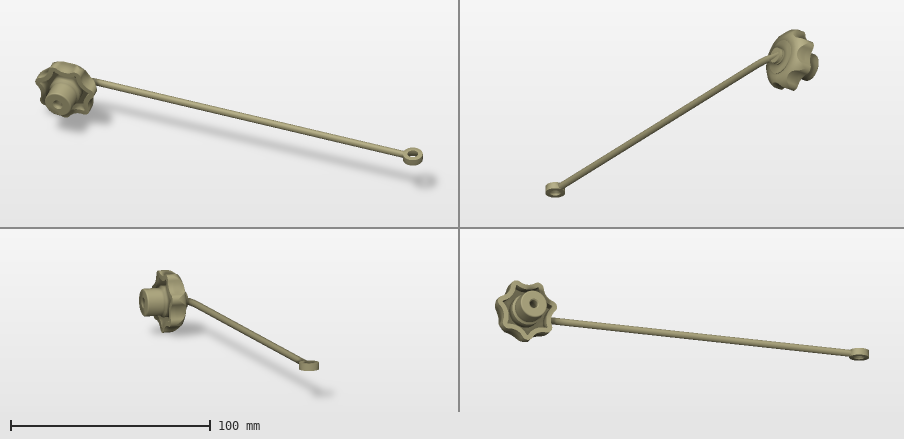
import cadquery as cq
import math


LOBE_COUNT = 7
LOBE_RADIUS = 3.0
LOBE_CENTRE_RADIUS = 13.0
KNOB_RADIUS = LOBE_CENTRE_RADIUS + LOBE_RADIUS
VALLEY_DEPTH_RADIUS = 13.0
FIRST_LOBE_ANGLE = -90.0
KNOB_FRONT = 10.0
KNOB_BACK = 19.0
BACK_ROUND_RADIUS = 6.0
RIM_WALL = 2.5
POCKET_DEPTH = 5.0

HUB_DIAMETER = 14.0
HUB_ROOT_DIAMETER = 16.0
HUB_ROOT_LEAD = 1.0
HUB_END_ROUND = 0.7
BORE_DIAMETER = 4.13
BORE_DEPTH = 12.0
BORE_MOUTH_DIAMETER = 5.3
COUNTERSINK_HALF_ANGLE = 45.0

BOSS_DIAMETER = 17.5
BOSS_HEIGHT = 0.5
COLLAR_DIAMETER = 8.0
COLLAR_THICKNESS = 0.7
NECK_DIAMETER = BORE_DIAMETER
NECK_LENGTH = 0.7
HEAD_DIAMETER = COLLAR_DIAMETER
HEAD_THICKNESS = 1.6

ARM_DIAMETER = 3.5
ARM_AXIS_Y = 23.49
BEND_START_X = 14.8
BEND_RADIUS = 60.0
BEND_ANGLE = 10.0
TIP_DIAMETER = 3.0
TIP_END_X = -3.0
EYE_DIAMETER = 10.0
EYE_THICKNESS = 3.52
EYE_HOLE_DIAMETER = 5.3
EYE_CENTRE_X = 180.99


def xz_plane(y):
    """Sketch plane normal to the knob axis, extruding toward +Y, with local y along -Z."""
    return cq.Plane(origin=(0, y, 0), xDir=(1, 0, 0), normal=(0, 1, 0))


def cylinder(diameter, start_y, length):
    return cq.Workplane(xz_plane(start_y)).circle(diameter / 2).extrude(length)


def polar(radius, angle):
    """Sketch point at an angle measured from +X toward +Z."""
    return radius * math.cos(angle), -radius * math.sin(angle)


def star_prism(inset, start_y, length):
    """Lobes and valleys joined by tangent arcs, shrunk evenly by the inset."""
    half_pitch = math.pi / LOBE_COUNT
    reach = VALLEY_DEPTH_RADIUS - LOBE_RADIUS
    valley_centre = (LOBE_CENTRE_RADIUS**2 - reach**2) / (
        2 * (LOBE_CENTRE_RADIUS * math.cos(half_pitch) - reach)
    )
    valley_radius = valley_centre - VALLEY_DEPTH_RADIUS
    lobe_radius = LOBE_RADIUS - inset
    share = lobe_radius / (LOBE_RADIUS + valley_radius)

    def tangent_point(lobe_angle, side):
        lobe_x, lobe_y = polar(LOBE_CENTRE_RADIUS, lobe_angle)
        valley_x, valley_y = polar(valley_centre, lobe_angle + side * half_pitch)
        return lobe_x + share * (valley_x - lobe_x), lobe_y + share * (valley_y - lobe_y)

    first_angle = math.radians(FIRST_LOBE_ANGLE)
    outline = cq.Workplane(xz_plane(start_y)).moveTo(*tangent_point(first_angle, -1))
    for index in range(LOBE_COUNT):
        lobe_angle = first_angle + 2 * half_pitch * index
        lobe_top = polar(LOBE_CENTRE_RADIUS + lobe_radius, lobe_angle)
        valley_bottom = polar(VALLEY_DEPTH_RADIUS - inset, lobe_angle + half_pitch)
        outline = outline.threePointArc(lobe_top, tangent_point(lobe_angle, 1))
        outline = outline.threePointArc(valley_bottom, tangent_point(lobe_angle + 2 * half_pitch, -1))
    return outline.close().extrude(length)


def knob_body():
    """Star disc with a rounded back and a pocket that leaves an even rim."""
    thickness = KNOB_BACK - KNOB_FRONT
    disc = cylinder(2 * KNOB_RADIUS, KNOB_FRONT, thickness)
    rounded_disc = disc.faces(">Y").edges().fillet(BACK_ROUND_RADIUS)
    body = star_prism(0, KNOB_FRONT, thickness).intersect(rounded_disc)
    return body.cut(star_prism(RIM_WALL, KNOB_FRONT, POCKET_DEPTH))


def hub():
    """Hub with a conical root that runs down to the pocket floor."""
    barrel = cylinder(HUB_DIAMETER, 0, KNOB_FRONT).faces("<Y").edges().fillet(HUB_END_ROUND)
    root_step = (HUB_ROOT_DIAMETER - HUB_DIAMETER) / 2
    root_start = KNOB_FRONT - HUB_ROOT_LEAD
    root = cylinder(HUB_ROOT_DIAMETER, root_start, HUB_ROOT_LEAD + POCKET_DEPTH)
    root = root.faces("<Y").edges().chamfer(HUB_ROOT_LEAD, root_step)
    return barrel.union(root)


def bore():
    """Blind bore with a countersunk mouth."""
    hole = cylinder(BORE_DIAMETER, 0, BORE_DEPTH)
    mouth_step = (BORE_MOUTH_DIAMETER - BORE_DIAMETER) / 2
    countersink_depth = mouth_step / math.tan(math.radians(COUNTERSINK_HALF_ANGLE))
    mouth = (
        cq.Workplane(xz_plane(0))
        .circle(BORE_MOUTH_DIAMETER / 2)
        .extrude(countersink_depth, taper=COUNTERSINK_HALF_ANGLE)
    )
    return hole.union(mouth)


def pivot():
    """Low boss on the knob's back, then a collar, a short neck and a round head."""
    boss = cylinder(BOSS_DIAMETER, KNOB_BACK, BOSS_HEIGHT)
    collar_start = KNOB_BACK + BOSS_HEIGHT
    collar = cylinder(COLLAR_DIAMETER, collar_start, COLLAR_THICKNESS)
    neck_start = collar_start + COLLAR_THICKNESS
    neck = cylinder(NECK_DIAMETER, neck_start, NECK_LENGTH)
    head = cylinder(HEAD_DIAMETER, neck_start + NECK_LENGTH, HEAD_THICKNESS)
    return boss.union(collar).union(neck).union(head)


def arm():
    """Straight rod with a gentle bend toward the knob and a thinner tip set into the head."""
    rod_start_x = EYE_CENTRE_X - (EYE_DIAMETER + EYE_HOLE_DIAMETER) / 4
    angle = math.radians(BEND_ANGLE)
    bend_end_x = BEND_START_X - BEND_RADIUS * math.sin(angle)
    bend_end_y = ARM_AXIS_Y - BEND_RADIUS * (1 - math.cos(angle))
    bend_mid = (
        BEND_START_X - BEND_RADIUS * math.sin(angle / 2),
        ARM_AXIS_Y - BEND_RADIUS * (1 - math.cos(angle / 2)),
    )
    path = (
        cq.Workplane("XY")
        .moveTo(rod_start_x, ARM_AXIS_Y)
        .lineTo(BEND_START_X, ARM_AXIS_Y)
        .threePointArc(bend_mid, (bend_end_x, bend_end_y))
    )
    section = cq.Plane(origin=(rod_start_x, ARM_AXIS_Y, 0), xDir=(0, 0, 1), normal=(-1, 0, 0))
    rod = cq.Workplane(section).circle(ARM_DIAMETER / 2).sweep(path)
    tip_plane = cq.Plane(
        origin=(bend_end_x, bend_end_y, 0),
        xDir=(0, 0, 1),
        normal=(-math.cos(angle), -math.sin(angle), 0),
    )
    tip_length = (bend_end_x - TIP_END_X) / math.cos(angle)
    return rod.union(cq.Workplane(tip_plane).circle(TIP_DIAMETER / 2).extrude(tip_length))


def eye_disc(diameter):
    return (
        cq.Workplane("XY", origin=(0, 0, -EYE_THICKNESS / 2))
        .center(EYE_CENTRE_X, ARM_AXIS_Y)
        .circle(diameter / 2)
        .extrude(EYE_THICKNESS)
    )


knob = knob_body().union(hub()).cut(bore()).union(pivot())
result = knob.union(arm()).union(eye_disc(EYE_DIAMETER)).cut(eye_disc(EYE_HOLE_DIAMETER))